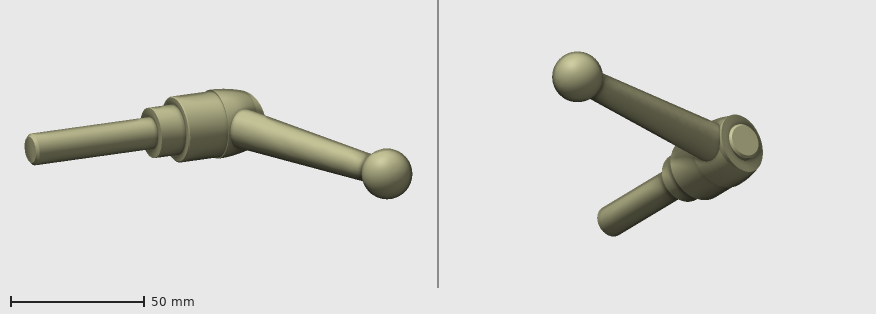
import cadquery as cq
import math

HEAD_DIAMETER = 26.0
HEAD_SHOULDER_Y = 13.3
HEAD_SHOULDER_RADIUS = 11.0
HEAD_CUT_ANGLE = 15.3
HEAD_CUT_Y = 13.4

SLEEVE_DIAMETER = 25.0
SLEEVE_LENGTH = 16.1
SLEEVE_CHAMFER = 0.41
COLLAR_DIAMETER = 19.0
COLLAR_LENGTH = 9.9
STUD_DIAMETER = 12.0
STUD_CHAMFER = 1.0
PIN_DIAMETER = 13.5
PIN_TOP_Y = 16.1
PIN_CHAMFER = 0.8

TOTAL_LENGTH = 116.8
TOTAL_WIDTH = 108.0
BALL_TOP_Y = 40.7
BALL_RADIUS = 19.0 / 2
HANDLE_AXIS_Y = 4.4
HANDLE_START = 7.0
HANDLE_START_RADIUS = 7.6
HANDLE_END_RADIUS = 5.0

head_radius = HEAD_DIAMETER / 2
collar_end_y = -SLEEVE_LENGTH - COLLAR_LENGTH
stud_end_y = BALL_TOP_Y - TOTAL_LENGTH
ball_x = TOTAL_WIDTH - head_radius - BALL_RADIUS
ball_y = BALL_TOP_Y - BALL_RADIUS


def rod(diameter, low_y, high_y):
    """Cylinder on the clamp axis between two heights."""
    plane = cq.Plane(origin=(0, low_y, 0), xDir=(1, 0, 0), normal=(0, 1, 0))
    return cq.Workplane(plane).circle(diameter / 2).extrude(high_y - low_y)


def side_arc_middle():
    """Middle point of the head's side arc, which starts parallel to the axis."""
    inset = head_radius - HEAD_SHOULDER_RADIUS
    arc_radius = (inset**2 + HEAD_SHOULDER_Y**2) / (2 * inset)
    half_angle = math.asin(HEAD_SHOULDER_Y / arc_radius) / 2
    middle_x = head_radius - arc_radius * (1 - math.cos(half_angle))
    return (middle_x, arc_radius * math.sin(half_angle))


def head():
    """Rounded head with a short cylinder above it, cut by a sloping flat."""
    rise = math.tan(math.radians(HEAD_CUT_ANGLE))
    blank_top_y = HEAD_CUT_Y + rise * head_radius
    blank = (
        cq.Workplane("XY")
        .moveTo(0, 0)
        .lineTo(head_radius, 0)
        .threePointArc(side_arc_middle(), (HEAD_SHOULDER_RADIUS, HEAD_SHOULDER_Y))
        .lineTo(HEAD_SHOULDER_RADIUS, blank_top_y)
        .lineTo(0, blank_top_y)
        .close()
        .revolve(360, (0, 0, 0), (0, 1, 0))
    )
    return blank.intersect(below_flat(rise))


def below_flat(rise):
    """Prism holding everything under the sloping flat of the head."""
    return (
        cq.Workplane("XY")
        .moveTo(-head_radius, 0)
        .lineTo(head_radius, 0)
        .lineTo(head_radius, HEAD_CUT_Y + rise * head_radius)
        .lineTo(-head_radius, HEAD_CUT_Y - rise * head_radius)
        .close()
        .extrude(head_radius, both=True)
    )


def handle():
    """Tapered arm running from inside the head to the ball centre."""
    length = math.hypot(ball_x, ball_y - HANDLE_AXIS_Y)
    direction = cq.Vector(ball_x, ball_y - HANDLE_AXIS_Y, 0) / length
    start = cq.Vector(0, HANDLE_AXIS_Y, 0) + direction * HANDLE_START
    return cq.Workplane(
        cq.Solid.makeCone(
            HANDLE_START_RADIUS, HANDLE_END_RADIUS, length - HANDLE_START, start, direction
        )
    )


sleeve = rod(SLEEVE_DIAMETER, -SLEEVE_LENGTH, 0).faces("<Y").chamfer(SLEEVE_CHAMFER)
collar = rod(COLLAR_DIAMETER, collar_end_y, -SLEEVE_LENGTH)
stud = rod(STUD_DIAMETER, stud_end_y, collar_end_y).faces("<Y").chamfer(STUD_CHAMFER)
pin = rod(PIN_DIAMETER, 0, PIN_TOP_Y).faces(">Y").chamfer(PIN_CHAMFER)
ball = cq.Workplane("XY").sphere(BALL_RADIUS).translate((ball_x, ball_y, 0))

result = head()
for piece in (sleeve, collar, stud, pin, handle(), ball):
    result = result.union(piece)